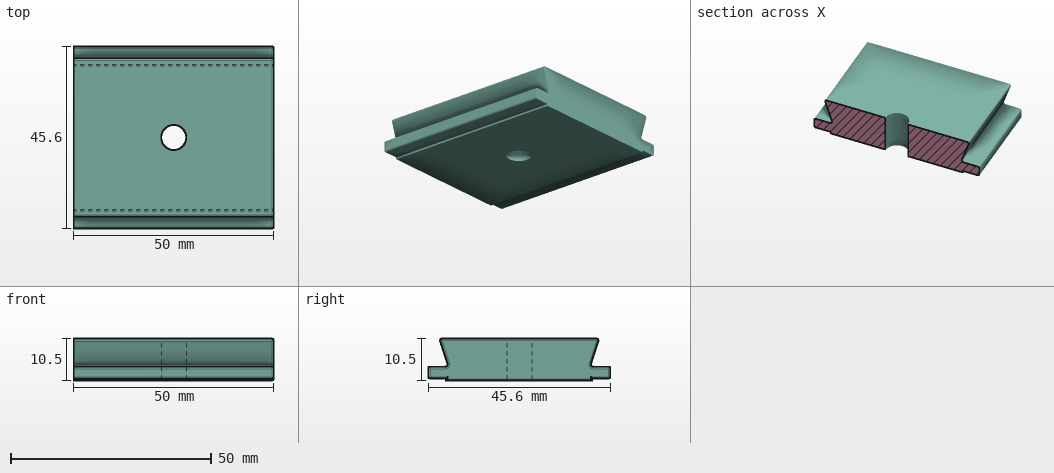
import cadquery as cq
import math

length = 50.0
flange_width = 45.58
height = 10.5

pad_height = 0.5
pad_width = 36.6
flange_thickness = 3.0
dovetail_width = 40.0
dovetail_angle = 18.0
edge_radius = 0.5
position_tolerance = 0.01

hole_diameter = 6.2

flange_top = pad_height + flange_thickness
dovetail_inset = (height - flange_top) * math.tan(math.radians(dovetail_angle))
neck_width = dovetail_width - 2 * dovetail_inset


def cross_section_corners():
    """Corners of the dovetail section as (Y, Z), before rounding."""
    positive_side = [
        (pad_width / 2, 0),
        (pad_width / 2, pad_height),
        (flange_width / 2, pad_height),
        (flange_width / 2, flange_top),
        (neck_width / 2, flange_top),
        (dovetail_width / 2, height),
    ]
    negative_side = [(-y, z) for y, z in reversed(positive_side)]
    return positive_side + negative_side


def is_off_pad(edge):
    """True for lengthwise edges that do not lie on the side walls of the base pad."""
    return abs(abs(edge.Center().y) - pad_width / 2) > position_tolerance


def dovetail_bar():
    """Bar along X with rounded dovetail, neck and flange edges."""
    bar = (
        cq.Workplane("YZ", origin=(-length / 2, 0, 0))
        .polyline(cross_section_corners())
        .close()
        .extrude(length)
    )
    rounded_edges = bar.edges("|X").filter(is_off_pad)
    return rounded_edges.fillet(edge_radius)


def round_end(bar):
    """Round the whole outline of the +X end face."""
    return bar.faces(">X").edges().fillet(edge_radius)


def drill_center_hole(bar):
    """Vertical through hole in the middle of the bar."""
    return bar.faces(">Z").workplane(origin=(0, 0, height)).hole(hole_diameter)


result = drill_center_hole(round_end(dovetail_bar()))